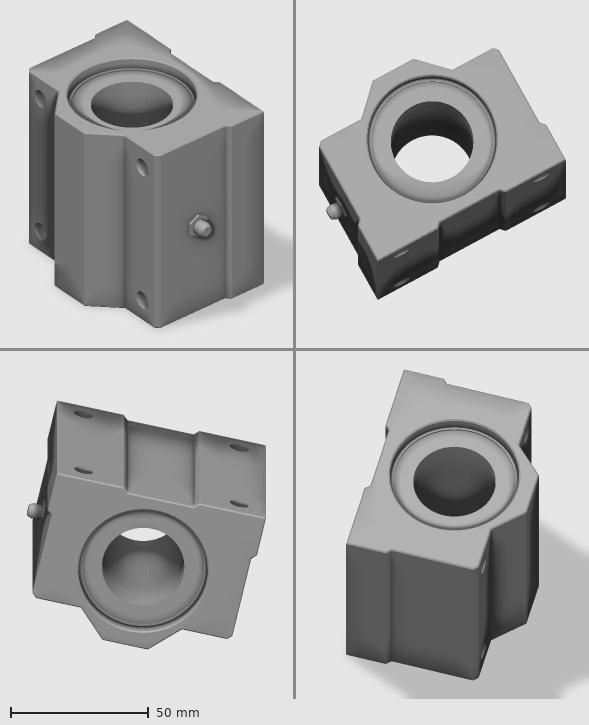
import cadquery as cq
import math


overall_width = 81.9

housing_height = 76.0
end_chamfer = 0.5
mount_half_width = 39.0
side_step = 1.7
body_half_width = mount_half_width - side_step
mount_face_y = 30.0
step_start_y = 15.0
step_end_y = step_start_y - side_step
shoulder_y = -19.1
corner_chamfer = 1.6
nose_y = -29.5
nose_half_width = 8.4
nose_root_half_width = nose_half_width + shoulder_y - nose_y
relief_depth = 1.7
relief_half_width = 14.1
relief_floor_half_width = relief_half_width - relief_depth

bolt_hole_diameter = 7.0
bolt_spacing = 58.0

bearing_diameter = 47.0
bearing_bore_diameter = 30.0
bearing_length = 68.0
bearing_chamfer = 0.65
end_recess_diameter = 44.3
end_recess_depth = 0.65
bore_chamfer = 0.5

nipple_hex_flats = 7.95
nipple_hex_thickness = 0.9
nipple_tip_x = overall_width - mount_half_width
nipple_dome_length = 1.8
nipple_rim_x = nipple_tip_x - nipple_dome_length
nipple_root_radius = 2.6
nipple_rim_radius = 2.9
nipple_tip_radius = 2.0
nipple_dome_bulge = 0.1


def make_housing():
    right_side = [
        (nose_half_width, nose_y),
        (nose_root_half_width, shoulder_y),
        (body_half_width - corner_chamfer, shoulder_y),
        (body_half_width, shoulder_y + corner_chamfer),
        (body_half_width, step_end_y),
        (mount_half_width, step_start_y),
        (mount_half_width, mount_face_y),
        (relief_half_width, mount_face_y),
        (relief_floor_half_width, mount_face_y - relief_depth),
    ]
    left_side = [(-x, y) for x, y in reversed(right_side)]
    block = (
        cq.Workplane("XY")
        .polyline(right_side + left_side)
        .close()
        .extrude(housing_height / 2, both=True)
        .faces("<Z or >Z")
        .chamfer(end_chamfer)
    )
    bolt_holes = (
        cq.Workplane("XZ", origin=(0, mount_face_y, 0))
        .rect(bolt_spacing, bolt_spacing, forConstruction=True)
        .vertices()
        .circle(bolt_hole_diameter / 2)
        .extrude(mount_face_y - nose_y)
    )
    return block.cut(bolt_holes).cut(make_bore())


def make_bore():
    half_height = housing_height / 2
    radius = bearing_diameter / 2
    mouth_radius = radius + bore_chamfer
    half_section = [
        (0, -half_height),
        (mouth_radius, -half_height),
        (radius, -half_height + bore_chamfer),
        (radius, half_height - bore_chamfer),
        (mouth_radius, half_height),
        (0, half_height),
    ]
    return cq.Workplane("XZ").polyline(half_section).close().revolve(360, (0, 0), (0, 1))


def make_bearing():
    sleeve = (
        cq.Workplane("XY")
        .circle(bearing_diameter / 2)
        .extrude(bearing_length / 2, both=True)
        .faces("<Z or >Z")
        .chamfer(bearing_chamfer)
    )
    for end in ("<Z", ">Z"):
        sleeve = sleeve.faces(end).workplane().circle(end_recess_diameter / 2).cutBlind(-end_recess_depth)
    return sleeve.faces(">Z").workplane().circle(bearing_bore_diameter / 2).cutThruAll()


def make_nipple():
    hex_corners = nipple_hex_flats / math.cos(math.pi / 6)
    hexagon = (
        cq.Workplane("YZ", origin=(body_half_width, 0, 0))
        .transformed(rotate=(0, 0, 90))
        .polygon(6, hex_corners)
        .extrude(nipple_hex_thickness)
    )
    dome_middle = (
        (nipple_rim_x + nipple_tip_x) / 2,
        (nipple_rim_radius + nipple_tip_radius) / 2 + nipple_dome_bulge,
    )
    stem = (
        cq.Workplane("XZ")
        .moveTo(body_half_width, 0)
        .lineTo(body_half_width, nipple_root_radius)
        .lineTo(body_half_width + nipple_hex_thickness, nipple_root_radius)
        .lineTo(nipple_rim_x, nipple_rim_radius)
        .threePointArc(dome_middle, (nipple_tip_x, nipple_tip_radius))
        .lineTo(nipple_tip_x, 0)
        .close()
        .revolve(360, (0, 0), (1, 0))
    )
    return hexagon.union(stem)


housing = make_housing()
bearing = make_bearing()
nipple = make_nipple()

result = cq.Compound.makeCompound([housing.val(), bearing.val(), nipple.val()])